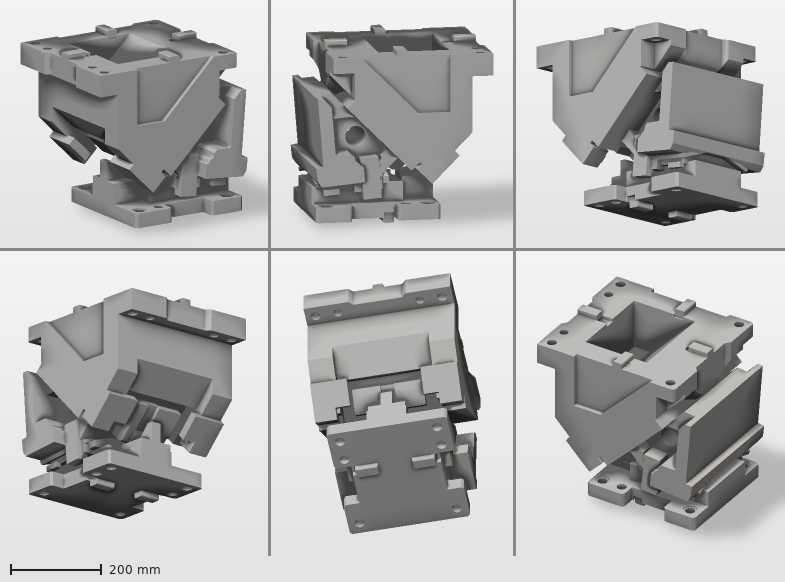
import cadquery as cq
import math


FAR = 798.0
KEY_HEIGHT = 13.0
KEY_LENGTH = 50.0
KEY_HALF_WIDTH = 12.0

GUIDE_LIFT = -47.5

DRIVER_HALF = 330.0 / 2
DRIVER_TOP = 372.5
DRIVER_REAR = 358.7
FLANGE_BOTTOM = 323.5
BODY_FRONT = 47.5
BODY_FRONT_BOTTOM = 197.0
BODY_LIFT = -21.5
BODY_NOSE_SLIDE = 172.8
WEAR_PLATE_SLIDES = (212.3, 415.0)
RIDGE_FRONT_SLIDE = 423.5
RIDGE_BOTTOM_LIFT = -44.3
RIDGE_TOP_HALF = 70.2
RIDGE_BOTTOM_HALF = 30.7
CHANNEL_HALF = 108.5
CHANNEL_LIFT = 53.0
CHANNEL_SLIDES = (198.0, 233.0)
NOSE_PLATE_X = (83.0, DRIVER_HALF)
NOSE_PLATE_SLIDES = (157.2, 177.0)
NOSE_PLATE_LIFTS = (-10.5, 50.3)
NOSE_HOOK_X = (116.0, DRIVER_HALF)
NOSE_HOOK_SLIDE = 204.0
NOSE_HOOK_LIFT = -37.0
EDGE_NOTCH_DEPTH = 9.5
EDGE_NOTCH_RUNOUT = 10.5
FRONT_NOTCH_HALF = 64.5
REAR_NOTCH_HALF = 70.2
REAR_CORNER_CHAMFER = 4.8
REAR_UNDERCUT_HALF = 119.7
REAR_UNDERCUT_Y = 311.2
REAR_UNDERCUT_TOP = 339.5
SIDE_RECESS_HALF = 153.5
SIDE_RECESS_Y = (97.0, 295.5)
SIDE_RECESS_BOTTOM = 244.0
POCKET_HALF = 100.5
POCKET_Y = (86.0, 246.0)
POCKET_BOTTOM = 252.5
KEYWAY_DEPTH = 8.0
SIDE_KEY_Y = 202.3
REAR_KEYWAY_END = 286.0
KEY_CHAMFER = 2.0
BOLT_HOLE_RADIUS = 11.0
BOLT_HOLE_X = 142.0
BOLT_HOLE_Y = (24.7, 334.5)
DOWEL_HOLE_RADIUS = 10.0
DOWEL_HOLE_X = 92.0

BASE_HALF = 135.3
BASE_FRONT = 112.0
BASE_REAR = 392.0
PLATE_TOP = 33.0
EAR_CHAMFER = 5.0
FRONT_EAR_END = 207.0
REAR_EAR_START = 311.0
WAIST_HALF = 99.0
PEDESTAL_HALF = 75.0
PEDESTAL_FRONT = 186.5
PEDESTAL_FRONT_TOP = 76.0
PEDESTAL_REAR_TOP = 70.2
PEDESTAL_SLOT_HALF = 66.0
PEDESTAL_SLOT_BOTTOM = 69.5
SEAT_HALF = 44.3
SEAT_FRONT_TOP = 64.2
SEAT_REAR_TOP = 50.5
SEAT_STEP_Y = 147.0
STOP_HALF = 42.0
STOP_REAR = 181.5
STOP_TOP = 80.0
POST_HALF = 12.8
POST_TOP = 123.5
BASE_KEY_X = 64.2
BASE_KEY_Y = 221.0
BASE_KEYWAY_DEPTH = 12.0
BASE_HOLE_X = 109.5
BASE_BOLT_Y = (136.5, 365.5)
BASE_DOWEL_Y = 186.7
COUNTERBORE_RADIUS = 16.5
COUNTERBORE_DEPTH = 2.0

RAIL_ANGLE = math.radians(5)
RAIL_REAR_Y = 368.5
RAIL_REAR_Z = 64.2
RAIL_LENGTH = 150.0
RAIL_HALF = 87.8
RAIL_EDGE_RISE = 14.8
RAIL_ROOF_HALF = 36.0
RAIL_ROOF_RISE = 31.5
PAD_THICKNESS = 10.5
REAR_PAD_LENGTH = 35.0
REAR_PAD_TOP = 1.5

SLIDER_HALF = 149.2
SLIDER_RISE = 19.5
SKIRT_HALF = 104.5
SKIRT_FOOT_HALF = 100.5
SKIRT_FOOT_RISE = 10.8
SKIRT_THICKNESS = 8.0
SKIRT_RUNS = (-16.0, 133.5)
SLIDER_FRONT_SLIDE = 240.5
SLIDER_REAR_SLIDE = 448.5
FLANK_RELIEF_TOP = 119.7
FLANK_LIFT = -49.5
CORE_HALF = 109.0
WEB_HALF = 79.8
SLIDER_HOLE_RADIUS = 22.7
SLIDER_HOLE = (293.5, 182.5)
STRAP_HALF = 115.7
STRAP_RUNS = (85.5, 125.5)
STRAP_RISES = (-26.5, 67.0)
STRAP_LIP_HALF = 88.5
STRAP_SEAT_RISE = 52.5
GIB_RUNS = (68.5, 131.5)
TEE_SLIDES = (198.7, 217.0)
TEE_TOP_LIFT = 29.5
TEE_ARM_LIFT = -28.0
TEE_STEM_LIFT = -72.0
TEE_ARM_HALF = 79.5
TEE_STEM_HALF = 36.0
TEE_BOTTOM = 94.5
TEE_RIB_HALF = 20.7
TEE_RIB_SLIDE = 222.5
NECK_OVERLAP = 8.0
BUMPER_HALF = 15.5
BUMPER_SLOT_SLIDE = 208.3
BUMPER_RADIUS = 20.5
BUMPER_CENTER = (192.0, 111.7)


def guide_point(slide, lift):
    """(Y, Z) of a point given in guide coordinates."""
    return ((slide - lift) / math.sqrt(2), (slide + lift) / math.sqrt(2))


def guide_rectangle(slides, lifts):
    corners = [(slides[0], lifts[0]), (slides[1], lifts[0]), (slides[1], lifts[1]), (slides[0], lifts[1])]
    return [guide_point(*corner) for corner in corners]


def prism(points, x_min, x_max):
    """A Y-Z outline extruded along X."""
    return cq.Workplane("YZ", origin=(x_min, 0, 0)).polyline(points).close().extrude(x_max - x_min)


def centered_prism(points, half):
    return prism(points, -half, half)


def both_sides(body):
    return body.union(body.mirror("YZ"))


def block(x_range, y_range, z_range):
    ranges = (x_range, y_range, z_range)
    lengths = [high - low for low, high in ranges]
    return cq.Workplane("XY").box(*lengths, centered=False).translate([low for low, _ in ranges])


def mirrored(half_outline):
    """An outline in X and height, completed by its mirror image."""
    return half_outline + [(-x, height) for x, height in reversed(half_outline)]


def along_rail(points, runs):
    """An outline in X and rise extruded along the rail."""
    direction = cq.Vector(0, -math.cos(RAIL_ANGLE), math.sin(RAIL_ANGLE))
    start = cq.Vector(0, RAIL_REAR_Y, RAIL_REAR_Z) + direction * runs[0]
    plane = cq.Plane(origin=start, xDir=(1, 0, 0), normal=direction)
    return cq.Workplane(plane).polyline(points).close().extrude(runs[1] - runs[0])


def rail_block(x_range, rises, runs):
    corners = [(x_range[0], rises[0]), (x_range[1], rises[0]), (x_range[1], rises[1]), (x_range[0], rises[1])]
    return along_rail(corners, runs)


def rail_point(run, rise):
    """(Y, Z) of a point given in rail coordinates."""
    y = RAIL_REAR_Y - run * math.cos(RAIL_ANGLE) + rise * math.sin(RAIL_ANGLE)
    z = RAIL_REAR_Z + run * math.sin(RAIL_ANGLE) + rise * math.cos(RAIL_ANGLE)
    return (y, z)


def holes(positions, radius, z_range):
    drill = cq.Workplane("XY", origin=(0, 0, z_range[0])).pushPoints(positions)
    return drill.circle(radius).extrude(z_range[1] - z_range[0])


def driver_body():
    outline = [
        (DRIVER_REAR, DRIVER_TOP),
        (0, DRIVER_TOP),
        (0, FLANGE_BOTTOM),
        (BODY_FRONT, FLANGE_BOTTOM),
        (BODY_FRONT, BODY_FRONT_BOTTOM),
        guide_point(BODY_NOSE_SLIDE, BODY_LIFT),
        (DRIVER_REAR, DRIVER_REAR + BODY_LIFT * math.sqrt(2)),
    ]
    wear_plate = guide_rectangle(WEAR_PLATE_SLIDES, (GUIDE_LIFT, BODY_LIFT))
    undercut = block((REAR_UNDERCUT_HALF, FAR), (REAR_UNDERCUT_Y, FAR), (0, REAR_UNDERCUT_TOP))
    body = centered_prism(outline, DRIVER_HALF).edges("|Z and >Y").chamfer(REAR_CORNER_CHAMFER)
    return body.cut(both_sides(undercut)).union(centered_prism(wear_plate, DRIVER_HALF))


def rear_ridge():
    """Tapered ridge under the rear of the driver, parallel to the guide."""
    y, z = guide_point(RIDGE_FRONT_SLIDE, 0)
    plane = cq.Plane(origin=(0, y, z), xDir=(-1, 0, 0), normal=(0, 1, 1))
    half_section = [(RIDGE_TOP_HALF, BODY_LIFT), (RIDGE_BOTTOM_HALF, RIDGE_BOTTOM_LIFT)]
    ridge = cq.Workplane(plane).polyline(mirrored(half_section)).close().extrude(DRIVER_REAR)
    return ridge.intersect(block((-FAR, FAR), (0, DRIVER_REAR), (0, DRIVER_TOP)))


def front_channel():
    """Opening at the nose, which lets the head of the slider into the driver."""
    front_opening = guide_rectangle((-FAR, CHANNEL_SLIDES[0]), (-FAR, FAR))
    channel = guide_rectangle(CHANNEL_SLIDES, (-FAR, CHANNEL_LIFT))
    return centered_prism(front_opening, CHANNEL_HALF).union(centered_prism(channel, CHANNEL_HALF))


def nose_plates():
    """Plates across the nose, each with a thicker hook hanging below its outer part."""
    plate = prism(guide_rectangle(NOSE_PLATE_SLIDES, NOSE_PLATE_LIFTS), *NOSE_PLATE_X)
    hook_slides = (NOSE_PLATE_SLIDES[0], NOSE_HOOK_SLIDE)
    hook = prism(guide_rectangle(hook_slides, (NOSE_HOOK_LIFT, NOSE_PLATE_LIFTS[0])), *NOSE_HOOK_X)
    return both_sides(plate.union(hook))


def edge_notch(edge_y, half, inward):
    """Shallow notch with sloped ends in the front or rear edge of the driver."""
    floor_half = half - EDGE_NOTCH_RUNOUT
    floor_y = edge_y + inward * EDGE_NOTCH_DEPTH
    points = [(-half, edge_y), (half, edge_y), (floor_half, floor_y), (-floor_half, floor_y)]
    return cq.Workplane("XY").polyline(points).close().extrude(DRIVER_TOP)


def side_recess():
    y_front, y_rear = SIDE_RECESS_Y
    slope_foot = y_rear - (DRIVER_TOP - SIDE_RECESS_BOTTOM)
    outline = [
        (y_front, DRIVER_TOP),
        (y_rear, DRIVER_TOP),
        (slope_foot, SIDE_RECESS_BOTTOM),
        (y_front, SIDE_RECESS_BOTTOM),
    ]
    return both_sides(prism(outline, SIDE_RECESS_HALF, DRIVER_HALF))


def top_pocket():
    y_front, y_rear = POCKET_Y
    slope_foot = y_rear - (DRIVER_TOP - POCKET_BOTTOM)
    outline = [(y_front, DRIVER_TOP), (y_rear, DRIVER_TOP), (slope_foot, POCKET_BOTTOM), (y_front, POCKET_BOTTOM)]
    return centered_prism(outline, POCKET_HALF)


def driver_keyways():
    floor = DRIVER_TOP - KEYWAY_DEPTH
    heights = (floor, DRIVER_TOP)
    width = (-KEY_HALF_WIDTH, KEY_HALF_WIDTH)
    front = block(width, (0, POCKET_Y[0]), heights)
    round_center = REAR_KEYWAY_END + KEY_HALF_WIDTH
    rear = block(width, (round_center, DRIVER_REAR), heights)
    rear = rear.union(holes([(0, round_center)], KEY_HALF_WIDTH, heights))
    side_width = (SIDE_KEY_Y - KEY_HALF_WIDTH, SIDE_KEY_Y + KEY_HALF_WIDTH)
    side = block((POCKET_HALF, DRIVER_HALF), side_width, heights)
    return front.union(rear).union(both_sides(side))


def driver_key():
    """Key along X, centred on the origin, from the keyway floor up; its long top edges are chamfered."""
    height = KEYWAY_DEPTH + KEY_HEIGHT
    key = cq.Workplane("XY").box(KEY_LENGTH, 2 * KEY_HALF_WIDTH, height, centered=(True, True, False))
    return key.faces(">Z").edges("|X").chamfer(KEY_CHAMFER)


def driver_keys():
    floor = DRIVER_TOP - KEYWAY_DEPTH
    side_x = SIDE_RECESS_HALF - KEY_LENGTH / 2
    front_y = EDGE_NOTCH_DEPTH + KEY_LENGTH / 2
    rear_y = DRIVER_REAR - EDGE_NOTCH_DEPTH - KEY_LENGTH / 2
    lengthwise = driver_key().rotate((0, 0, 0), (0, 0, 1), 90)
    keys = lengthwise.translate((0, front_y, floor))
    keys = keys.union(lengthwise.translate((0, rear_y, floor)))
    return keys.union(both_sides(driver_key().translate((side_x, SIDE_KEY_Y, floor))))


def driver_holes():
    bolts = [(side * BOLT_HOLE_X, y) for side in (-1, 1) for y in BOLT_HOLE_Y]
    dowels = [(side * DOWEL_HOLE_X, BOLT_HOLE_Y[0]) for side in (-1, 1)]
    depth = (FLANGE_BOTTOM, DRIVER_TOP)
    return holes(bolts, BOLT_HOLE_RADIUS, depth).union(holes(dowels, DOWEL_HOLE_RADIUS, depth))


def make_driver():
    driver = driver_body().union(rear_ridge()).cut(front_channel()).union(nose_plates())
    driver = driver.cut(edge_notch(0, FRONT_NOTCH_HALF, 1)).cut(edge_notch(DRIVER_REAR, REAR_NOTCH_HALF, -1))
    driver = driver.cut(side_recess()).cut(top_pocket()).cut(driver_keyways())
    return driver.union(driver_keys()).cut(driver_holes())


def base_plate():
    heights = (0, PLATE_TOP)
    full_width = (-BASE_HALF, BASE_HALF)
    front_ear = block(full_width, (BASE_FRONT, FRONT_EAR_END), heights).edges("|Z").chamfer(EAR_CHAMFER)
    rear_ear = block(full_width, (REAR_EAR_START, BASE_REAR), heights).edges("|Z").chamfer(EAR_CHAMFER)
    waist = block((-WAIST_HALF, WAIST_HALF), (BASE_FRONT, BASE_REAR), heights)
    keyway_y = (BASE_KEY_Y - KEY_HALF_WIDTH, BASE_KEY_Y + KEY_HALF_WIDTH)
    keyway = block((BASE_KEY_X - KEY_LENGTH / 2, WAIST_HALF), keyway_y, (0, BASE_KEYWAY_DEPTH))
    return waist.union(front_ear).union(rear_ear).cut(both_sides(keyway))


def pedestal():
    rail_front_y = rail_point(RAIL_LENGTH, 0)[0]
    outline = [
        (BASE_REAR, PLATE_TOP),
        (BASE_REAR, PEDESTAL_REAR_TOP),
        (RAIL_REAR_Y, PEDESTAL_REAR_TOP),
        (rail_front_y, PEDESTAL_FRONT_TOP),
        (PEDESTAL_FRONT, PEDESTAL_FRONT_TOP),
        (PEDESTAL_FRONT, PLATE_TOP),
    ]
    slot_width = (-PEDESTAL_SLOT_HALF, PEDESTAL_SLOT_HALF)
    slot = block(slot_width, (PEDESTAL_FRONT, rail_front_y), (PEDESTAL_SLOT_BOTTOM, PEDESTAL_FRONT_TOP))
    return centered_prism(outline, PEDESTAL_HALF).cut(slot)


def rail_roof():
    return mirrored([(RAIL_HALF, 0), (RAIL_HALF, RAIL_EDGE_RISE), (RAIL_ROOF_HALF, RAIL_ROOF_RISE)])


def rail():
    rear_pad = rail_block((RAIL_HALF, SKIRT_FOOT_HALF), (-PAD_THICKNESS, REAR_PAD_TOP), (0, REAR_PAD_LENGTH))
    return along_rail(rail_roof(), (0, RAIL_LENGTH)).union(both_sides(rear_pad))


def front_stop():
    seat_outline = [
        (BASE_FRONT, PLATE_TOP),
        (BASE_FRONT, SEAT_FRONT_TOP),
        (SEAT_STEP_Y, SEAT_FRONT_TOP),
        (SEAT_STEP_Y, SEAT_REAR_TOP),
        (STOP_REAR, SEAT_REAR_TOP),
        (STOP_REAR, PEDESTAL_SLOT_BOTTOM),
        (PEDESTAL_FRONT, PEDESTAL_SLOT_BOTTOM),
        (PEDESTAL_FRONT, PLATE_TOP),
    ]
    post_outline = [
        (BASE_FRONT, STOP_TOP),
        (BASE_FRONT, POST_TOP),
        (125.5, POST_TOP),
        (151.5, 95.5),
        (STOP_REAR, 89.0),
        (STOP_REAR, STOP_TOP),
    ]
    stop = block((-STOP_HALF, STOP_HALF), (BASE_FRONT, STOP_REAR), (SEAT_REAR_TOP, STOP_TOP))
    stop = stop.union(centered_prism(seat_outline, SEAT_HALF))
    return stop.union(centered_prism(post_outline, POST_HALF))


def base_keys():
    key_x = (BASE_KEY_X - KEY_LENGTH / 2, BASE_KEY_X + KEY_LENGTH / 2)
    key_y = (BASE_KEY_Y - KEY_HALF_WIDTH, BASE_KEY_Y + KEY_HALF_WIDTH)
    key = block(key_x, key_y, (-KEY_HEIGHT, BASE_KEYWAY_DEPTH))
    return both_sides(key.faces("<Z").edges("|X").chamfer(KEY_CHAMFER))


def base_holes():
    bolts = [(side * BASE_HOLE_X, y) for side in (-1, 1) for y in BASE_BOLT_Y]
    dowels = [(side * BASE_HOLE_X, BASE_DOWEL_Y) for side in (-1, 1)]
    through = (0, PLATE_TOP)
    drilled = holes(bolts, BOLT_HOLE_RADIUS, through).union(holes(dowels, BOLT_HOLE_RADIUS, through))
    return drilled.union(holes(bolts, COUNTERBORE_RADIUS, (PLATE_TOP - COUNTERBORE_DEPTH, PLATE_TOP)))


def make_base():
    base = base_plate().cut(base_holes())
    return base.union(pedestal()).union(rail()).union(front_stop()).union(base_keys())


def slider_body():
    rear_top = (391.5, 280.0)
    outline = [
        rear_top,
        guide_point(SLIDER_REAR_SLIDE, GUIDE_LIFT),
        guide_point(SLIDER_FRONT_SLIDE, GUIDE_LIFT),
        guide_point(SLIDER_FRONT_SLIDE, -104.5),
        rail_point(123.5, SLIDER_RISE),
        rail_point(-12.0, SLIDER_RISE),
        (392.0, 95.5),
        (395.0, 124.5),
        (379.0, 127.0),
    ]
    return centered_prism(outline, SLIDER_HALF)


def side_pockets():
    """Recess in each flank: shallow above, deep below, open to the guide."""
    wall_top = (360.5, 262.5)
    wall_foot = (351.5, 157.0)
    step_z = 228.0
    wall_slope = (wall_top[0] - wall_foot[0]) / (wall_top[1] - wall_foot[1])
    wall_step = (wall_foot[0] + (step_z - wall_foot[1]) * wall_slope, step_z)
    step_front = (297.5, 232.2)
    upper = [(378.3, 280.5), wall_top, wall_step, step_front, guide_point(371.0, 0), (378.3, 319.2)]
    lower = cq.Workplane("YZ", origin=(WEB_HALF, 0, 0)).moveTo(*wall_step).lineTo(*wall_foot)
    lower = lower.threePointArc((350.5, 154.0), (347.5, 152.5)).lineTo(315.2, 153.5).lineTo(308.0, 147.0)
    lower = lower.threePointArc((307.2, 141.0), (304.0, 135.3)).lineTo(297.5, 132.5).lineTo(294.5, 126.0)
    lower = lower.lineTo(*rail_point(STRAP_RUNS[0], STRAP_SEAT_RISE))
    lower = lower.lineTo(*rail_point(STRAP_RUNS[1], STRAP_SEAT_RISE))
    lower = lower.lineTo(245.0, 129.3).threePointArc((241.0, 133.0), (241.5, 139.5)).lineTo(226.5, 155.2)
    lower = lower.lineTo(226.5, 163.5).lineTo(*step_front).close().extrude(SLIDER_HALF - WEB_HALF)
    flank_top = guide_rectangle((SLIDER_FRONT_SLIDE, SLIDER_REAR_SLIDE), (FLANK_LIFT, 0))
    upper_pocket = prism(upper, CORE_HALF, SLIDER_HALF)
    return both_sides(upper_pocket.union(lower).union(prism(flank_top, CORE_HALF, SLIDER_HALF)).clean())


def skirt():
    """Underside that straddles the roof of the rail."""
    half_section = [
        (RAIL_ROOF_HALF, RAIL_ROOF_RISE + SKIRT_THICKNESS),
        (SKIRT_FOOT_HALF, SLIDER_RISE),
        (SKIRT_HALF, SLIDER_RISE),
        (SKIRT_FOOT_HALF, SKIRT_FOOT_RISE),
        (RAIL_ROOF_HALF, RAIL_ROOF_RISE),
    ]
    left_section = [(-x, rise) for x, rise in half_section]
    flank = along_rail(half_section, SKIRT_RUNS).union(along_rail(left_section, SKIRT_RUNS))
    ridge_rises = (RAIL_ROOF_RISE, RAIL_ROOF_RISE + SKIRT_THICKNESS)
    return flank.union(rail_block((-RAIL_ROOF_HALF, RAIL_ROOF_HALF), ridge_rises, SKIRT_RUNS))


def straps():
    """Hooks that hold the slider down, with gibs reaching under the edges of the rail."""
    wall = rail_block((SKIRT_FOOT_HALF, STRAP_HALF), STRAP_RISES, STRAP_RUNS)
    head = rail_block((WEB_HALF, STRAP_HALF), (SLIDER_RISE, STRAP_RISES[1]), STRAP_RUNS)
    lip = rail_block((STRAP_LIP_HALF, STRAP_HALF), (STRAP_RISES[0], -PAD_THICKNESS), STRAP_RUNS)
    foot = rail_block((PEDESTAL_HALF, SKIRT_FOOT_HALF), (-PAD_THICKNESS, 0), GIB_RUNS)
    side = rail_block((RAIL_HALF, SKIRT_FOOT_HALF), (0, SKIRT_FOOT_RISE), GIB_RUNS)
    return both_sides(wall.union(head).union(lip).union(foot).union(side))


def tee_head():
    """T-shaped plate across the front of the slider, with a slot for the bumper down its middle."""
    arm_lifts = (TEE_ARM_LIFT, TEE_TOP_LIFT)
    arms = centered_prism(guide_rectangle(TEE_SLIDES, arm_lifts), TEE_ARM_HALF)
    rib = centered_prism(guide_rectangle((TEE_SLIDES[1], TEE_RIB_SLIDE), arm_lifts), TEE_RIB_HALF)
    stem = centered_prism(guide_rectangle(TEE_SLIDES, (TEE_STEM_LIFT, TEE_ARM_LIFT)), TEE_STEM_HALF)
    neck_slides = (TEE_SLIDES[1], SLIDER_FRONT_SLIDE + NECK_OVERLAP)
    neck = centered_prism(guide_rectangle(neck_slides, (TEE_STEM_LIFT, GUIDE_LIFT)), TEE_STEM_HALF)
    slot = centered_prism(guide_rectangle((TEE_SLIDES[0], BUMPER_SLOT_SLIDE), (-FAR, FAR)), BUMPER_HALF)
    below = block((-FAR, FAR), (0, FAR), (0, TEE_BOTTOM))
    return arms.union(rib).union(stem).union(neck).cut(slot).cut(below)


def bumper():
    bumper_start = cq.Workplane("YZ", origin=(-BUMPER_HALF, 0, 0)).center(*BUMPER_CENTER)
    return bumper_start.circle(BUMPER_RADIUS).extrude(2 * BUMPER_HALF)


def make_slider():
    relief = rail_block((CORE_HALF, SLIDER_HALF), (0, FLANK_RELIEF_TOP), (STRAP_RUNS[0], FAR))
    hole = cq.Workplane("YZ", origin=(-SLIDER_HALF, 0, 0)).center(*SLIDER_HOLE)
    hole = hole.circle(SLIDER_HOLE_RADIUS).extrude(2 * SLIDER_HALF)
    slider = slider_body().cut(side_pockets()).cut(both_sides(relief)).union(skirt())
    slider = slider.cut(along_rail(rail_roof(), (-FAR, FAR)))
    return slider.union(straps()).cut(hole).union(tee_head()).union(bumper())


driver = make_driver()
base = make_base()
slider = make_slider()
result = cq.Compound.makeCompound([driver.val(), base.val(), slider.val()])